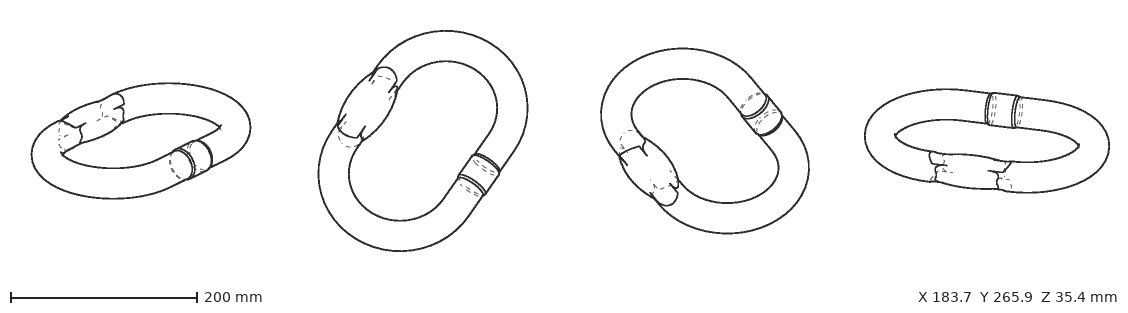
import cadquery as cq
import math

bar_diameter = 33.0
bend_radius = 71.5
straight_length = 89.9

sleeve_diameter = 35.4
sleeve_body_length = 26.9
sleeve_taper_length = 3.0

flat_thickness = 21.5
flat_ramp_angle = 45
flat_corner_radius = 1.3

bulge_width = 46.0
bulge_arc_radius = 89.0
bulge_edge_radius = 7.2

bar_radius = bar_diameter / 2
bulge_half_width = bulge_width / 2
half_straight = straight_length / 2


def make_link():
    """Closed oval of round bar: two straight legs joined by half circles."""
    centreline = (
        cq.Workplane("XY")
        .moveTo(-bend_radius, -half_straight)
        .lineTo(-bend_radius, half_straight)
        .threePointArc((0, half_straight + bend_radius), (bend_radius, half_straight))
        .lineTo(bend_radius, -half_straight)
        .threePointArc((0, -half_straight - bend_radius), (-bend_radius, -half_straight))
        .close()
    )
    return (
        cq.Workplane("XZ", origin=(-bend_radius, -half_straight, 0))
        .circle(bar_radius)
        .sweep(centreline)
    )


def make_sleeve():
    """Collar revolved about the axis of the +X leg, with a cone at each end."""
    half_body = sleeve_body_length / 2
    half_total = half_body + sleeve_taper_length
    return (
        cq.Workplane("XY", origin=(bend_radius, 0, 0))
        .moveTo(0, -half_total)
        .lineTo(bar_radius, -half_total)
        .lineTo(sleeve_diameter / 2, -half_body)
        .lineTo(sleeve_diameter / 2, half_body)
        .lineTo(bar_radius, half_total)
        .lineTo(0, half_total)
        .close()
        .revolve(360, (0, 0, 0), (0, 1, 0))
    )


def make_flat_cutter():
    """Material pressed away above the upper flat, with a blended ramp at each end."""
    flat_height = flat_thickness / 2
    ramp_run = (bar_radius - flat_height) / math.tan(math.radians(flat_ramp_angle))
    half_flat = half_straight - ramp_run
    return (
        cq.Workplane("YZ", origin=(-bend_radius, 0, 0))
        .moveTo(-half_straight, bar_radius)
        .lineTo(-half_flat, flat_height)
        .lineTo(half_flat, flat_height)
        .lineTo(half_straight, bar_radius)
        .close()
        .extrude(bar_radius, both=True)
        .faces("<Z")
        .edges("|X")
        .fillet(flat_corner_radius)
    )


def make_bulge():
    """Lens-shaped plate along the leg, flush with the flats, with rounded upper and lower edges."""
    arc_centre_offset = bulge_arc_radius - bulge_half_width
    half_length = math.sqrt(bulge_arc_radius**2 - arc_centre_offset**2)
    return (
        cq.Workplane("XY", origin=(-bend_radius, 0, -flat_thickness / 2))
        .moveTo(0, -half_length)
        .threePointArc((bulge_half_width, 0), (0, half_length))
        .threePointArc((-bulge_half_width, 0), (0, -half_length))
        .close()
        .extrude(flat_thickness)
        .faces("|Z")
        .edges()
        .fillet(bulge_edge_radius)
    )


upper_cutter = make_flat_cutter()
lower_cutter = upper_cutter.mirror("XY")

result = (
    make_link()
    .cut(upper_cutter)
    .cut(lower_cutter)
    .union(make_bulge())
    .union(make_sleeve())
)